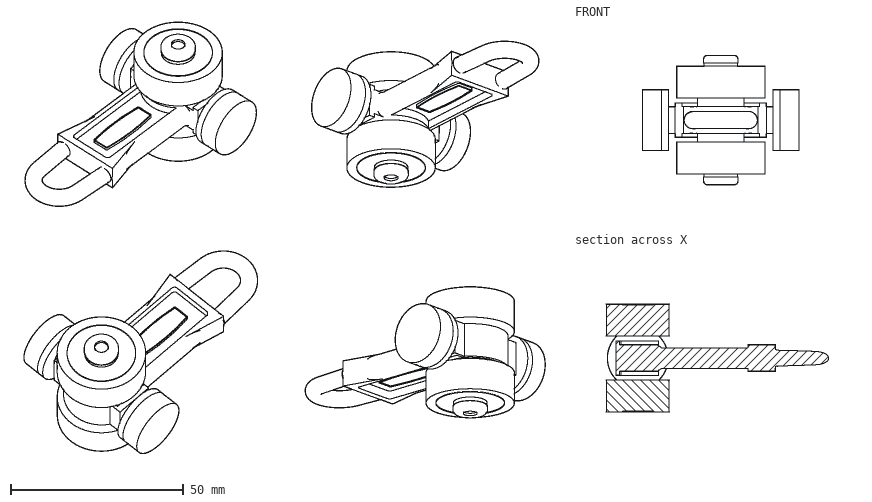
import cadquery as cq
import math

pin_length = 37.6
pin_radius = 4.9
head_radius = 5.0
head_height = 2.2
head_round = 1.1
socket_radius = 2.0
socket_depth = 0.75

wheel_radius = 12.85
wheel_bottom = 6.35
wheel_top = 15.7
boss_radius = 6.8
face_recess_radius = 10.0
face_recess_depth = 0.2

roller_radius = 8.9
overall_width = 45.5
roller_inner = 17.2
flange_inner = 15.15
stub_radius = 3.9

bar_width = 26.5
bar_depth = 12.0
yoke_height = 10.0
back_radius = 11.0
back_wall = 1.0
channel_width = 22.6
mouth_round = 2.5

arm_width = 17.95
arm_height = 7.75
arm_end = 40.0
arm_edge_round = 1.1
arm_root_round = 1.0
flare_start = 27.3
flare_end_width = 21.6

pocket_width = 14.05
pocket_end = 37.8
pocket_corner = 1.0
pocket_depth = 2.45
plate_near = 14.25
plate_far = 33.5
plate_end_width = 5.2
plate_mid_width = 6.5
plate_thickness = 0.8
plate_corner = 0.4
plate_rim = 0.2
plate_recess_depth = 0.2

overall_length = 73.9
hook_rod_radius = 2.5
hook_bend_radius = 7.5
hook_base_x = 8.1
hook_base_round = 0.5
hook_embed = 0.3

half_bar_depth = bar_depth / 2
half_arm_height = arm_height / 2
half_arm_width = arm_width / 2
pocket_floor = half_arm_height - pocket_depth
root_outer_x = half_arm_width + arm_root_round
root_front_y = -half_bar_depth - arm_root_round
hook_end = overall_length - wheel_radius


def centred_prism(sketch, height):
    return sketch.extrude(height / 2, both=True)


def make_channel():
    """Clearance around one wheel boss: straight in front, round at the back, with rounded shoulders."""
    recess_radius = back_radius - back_wall
    shoulder_y = half_bar_depth - back_wall
    half_width = channel_width / 2
    shoulder_centre_y = shoulder_y + mouth_round
    shoulder_centre_x = math.sqrt((recess_radius + mouth_round) ** 2 - shoulder_centre_y**2)
    contact_ratio = recess_radius / (recess_radius + mouth_round)
    contact_x = shoulder_centre_x * contact_ratio
    contact_y = shoulder_centre_y * contact_ratio
    half_turn = math.atan2(shoulder_centre_x, shoulder_centre_y) / 2
    middle_x = shoulder_centre_x - mouth_round * math.sin(half_turn)
    middle_y = shoulder_centre_y - mouth_round * math.cos(half_turn)
    return (
        cq.Workplane("XY", origin=(0, 0, half_arm_height))
        .moveTo(-half_width, -back_radius)
        .lineTo(half_width, -back_radius)
        .lineTo(half_width, shoulder_y)
        .lineTo(shoulder_centre_x, shoulder_y)
        .threePointArc((middle_x, middle_y), (contact_x, contact_y))
        .threePointArc((0, recess_radius), (-contact_x, contact_y))
        .threePointArc((-middle_x, middle_y), (-shoulder_centre_x, shoulder_y))
        .lineTo(-half_width, shoulder_y)
        .close()
        .extrude(yoke_height)
    )


def make_yoke():
    bar = cq.Workplane("XY").box(bar_width, bar_depth, yoke_height)
    back = centred_prism(cq.Workplane("XY").circle(back_radius), yoke_height)
    channel = make_channel()
    return bar.union(back).cut(channel).cut(channel.mirror("XY"))


def make_arm():
    return cq.Workplane("XY").box(arm_width, arm_end, arm_height).translate((0, -arm_end / 2, 0))


def make_flare():
    start_x = half_arm_width - arm_edge_round
    end_x = flare_end_width / 2
    outline = cq.Workplane("XY").polyline(
        [(-start_x, -flare_start), (start_x, -flare_start), (end_x, -arm_end), (-end_x, -arm_end)]
    )
    return centred_prism(outline.close(), arm_height)


def make_root_round():
    """Concave corner between the arm's +X side and the crossbar."""
    inner_x = half_arm_width - arm_edge_round
    bulge = arm_root_round * (1 - math.sqrt(0.5))
    outline = (
        cq.Workplane("XY")
        .moveTo(inner_x, root_front_y)
        .lineTo(half_arm_width, root_front_y)
        .threePointArc((half_arm_width + bulge, -half_bar_depth - bulge), (root_outer_x, -half_bar_depth))
        .lineTo(inner_x, -half_bar_depth)
        .close()
    )
    return centred_prism(outline, arm_height)


def edge_round_profile():
    """Waste outside the rounded upper +X edge of the arm, in the plane where its root round starts."""
    inner_x = half_arm_width - arm_edge_round
    lower_z = half_arm_height - arm_edge_round
    diagonal = arm_edge_round * math.sqrt(0.5)
    return (
        cq.Workplane("XZ", origin=(0, root_front_y, 0))
        .moveTo(inner_x, half_arm_height)
        .threePointArc((inner_x + diagonal, lower_z + diagonal), (half_arm_width, lower_z))
        .lineTo(half_arm_width, half_arm_height)
        .close()
    )


def make_edge_waste():
    """Cutter that rounds the arm's upper +X edge and follows the root round up to the crossbar."""
    straight = edge_round_profile().extrude(arm_end + root_front_y)
    around_root = edge_round_profile().revolve(360, (root_outer_x, 0, 0), (root_outer_x, 1, 0))
    in_front_of_bar = cq.Workplane("XY").box(bar_width, arm_end, yoke_height).translate(
        (0, -half_bar_depth - arm_end / 2, 0)
    )
    return straight.union(around_root).intersect(in_front_of_bar)


def make_pocket():
    return (
        cq.Workplane("XY", origin=(0, -pocket_end / 2, pocket_floor))
        .rect(pocket_width, pocket_end)
        .extrude(pocket_depth)
        .edges("|Z and <Y")
        .fillet(pocket_corner)
        .cut(cq.Workplane("XY").circle(back_radius).extrude(half_arm_height))
    )


def plate_outline(floor_z, inset):
    """Barrel-shaped outline of the nameplate, moved inwards by the inset."""
    half_end = plate_end_width / 2 - inset
    half_mid = plate_mid_width / 2 - inset
    near_y = -plate_near - inset
    far_y = -plate_far + inset
    middle_y = (near_y + far_y) / 2
    return (
        cq.Workplane("XY", origin=(0, 0, floor_z))
        .moveTo(-half_end, near_y)
        .lineTo(half_end, near_y)
        .threePointArc((half_mid, middle_y), (half_end, far_y))
        .lineTo(-half_end, far_y)
        .threePointArc((-half_mid, middle_y), (-half_end, near_y))
        .close()
    )


def make_nameplate():
    plate = plate_outline(pocket_floor, 0).extrude(plate_thickness).edges("|Z").fillet(plate_corner)
    recess_floor = pocket_floor + plate_thickness - plate_recess_depth
    return plate.cut(plate_outline(recess_floor, plate_rim).extrude(plate_recess_depth))


def make_hook():
    """U-shaped rod whose straight legs are tangent to the bend."""
    bend_y = -(hook_end - hook_rod_radius - hook_bend_radius)
    base_dy = -arm_end - bend_y
    base_distance = math.hypot(hook_base_x, base_dy)
    tangent_angle = math.atan2(base_dy, hook_base_x) - math.acos(hook_bend_radius / base_distance)
    tangent_x = hook_bend_radius * math.cos(tangent_angle)
    tangent_y = bend_y + hook_bend_radius * math.sin(tangent_angle)
    lean = -math.tan(tangent_angle)
    top_x = hook_base_x + lean * hook_embed
    top_y = -arm_end + hook_embed
    path = (
        cq.Workplane("XY")
        .moveTo(-top_x, top_y)
        .lineTo(-tangent_x, tangent_y)
        .threePointArc((0, bend_y - hook_bend_radius), (tangent_x, tangent_y))
        .lineTo(top_x, top_y)
    )
    leg_direction = (-math.sin(tangent_angle), -math.cos(tangent_angle), 0)
    start = cq.Plane(origin=(-top_x, top_y, 0), xDir=(0, 0, 1), normal=leg_direction)
    return cq.Workplane(start).circle(hook_rod_radius).sweep(path)


def make_hook_base_round(side):
    """Concave round where a hook leg meets the arm's end, trimmed flush with the arm's side."""
    outer = hook_rod_radius + hook_base_round
    bulge = hook_base_round * (1 - math.sqrt(0.5))
    collar = (
        cq.Workplane("XY")
        .moveTo(0, 0)
        .lineTo(outer, 0)
        .threePointArc((hook_rod_radius + bulge, -bulge), (hook_rod_radius, -hook_base_round))
        .lineTo(0, -hook_base_round)
        .close()
        .revolve(360, (0, 0, 0), (0, 1, 0))
    )
    trim = cq.Workplane("XY").box(flare_end_width, 2 * arm_end + 2 * outer, arm_height)
    return collar.translate((side * hook_base_x, -arm_end, 0)).intersect(trim)


def make_carriage():
    root_round = make_root_round()
    edge_waste = make_edge_waste()
    edge_waste = edge_waste.union(edge_waste.mirror("XY"))
    pocket = make_pocket()
    nameplate = make_nameplate()
    pin_hole = centred_prism(cq.Workplane("XY").circle(pin_radius), arm_height)

    carriage = make_yoke().union(make_arm()).union(root_round).union(root_round.mirror("YZ"))
    carriage = carriage.cut(edge_waste).cut(edge_waste.mirror("YZ")).union(make_flare())
    carriage = carriage.cut(pocket).cut(pocket.mirror("XY"))
    carriage = carriage.union(nameplate).union(nameplate.mirror("XY"))
    carriage = carriage.union(make_hook())
    for side in (-1, 1):
        carriage = carriage.union(make_hook_base_round(side))
    return carriage.cut(pin_hole)


def make_pin():
    half_length = pin_length / 2
    head = (
        cq.Workplane("XY", origin=(0, 0, half_length - head_height))
        .circle(head_radius)
        .extrude(head_height)
        .faces(">Z")
        .edges()
        .fillet(head_round)
    )
    socket = (
        cq.Workplane("XY", origin=(0, 0, half_length - socket_depth))
        .circle(socket_radius)
        .extrude(socket_depth)
    )
    shank = centred_prism(cq.Workplane("XY").circle(pin_radius), pin_length - 2 * head_height)
    pin = shank.union(head).union(head.mirror("XY"))
    return pin.cut(socket).cut(socket.mirror("XY"))


def make_upper_wheel():
    boss = (
        cq.Workplane("XY", origin=(0, 0, half_arm_height))
        .circle(boss_radius)
        .extrude(wheel_top - half_arm_height)
    )
    rim = (
        cq.Workplane("XY", origin=(0, 0, wheel_bottom))
        .circle(wheel_radius)
        .extrude(wheel_top - wheel_bottom)
    )
    recess = (
        cq.Workplane("XY", origin=(0, 0, wheel_top - face_recess_depth))
        .circle(face_recess_radius)
        .extrude(face_recess_depth)
    )
    bore = cq.Workplane("XY").circle(pin_radius).extrude(wheel_top)
    return rim.union(boss).cut(recess).cut(bore)


def disc_along_x(radius, start_x, end_x):
    return cq.Workplane("YZ", origin=(start_x, 0, 0)).circle(radius).extrude(end_x - start_x)


def make_right_stub():
    shaft = disc_along_x(stub_radius, bar_width / 2, flange_inner)
    flange = disc_along_x(roller_radius, flange_inner, roller_inner)
    return shaft.union(flange)


def make_right_roller():
    return disc_along_x(roller_radius, roller_inner, overall_width / 2)


carriage = make_carriage()
pin = make_pin()
bodies = [carriage.val(), pin.val()]

mirrored_pairs = (
    (make_upper_wheel(), "XY"),
    (make_right_stub(), "YZ"),
    (make_right_roller(), "YZ"),
)
for body, mirror_plane in mirrored_pairs:
    bodies += [body.val(), body.mirror(mirror_plane).val()]

result = cq.Compound.makeCompound(bodies)